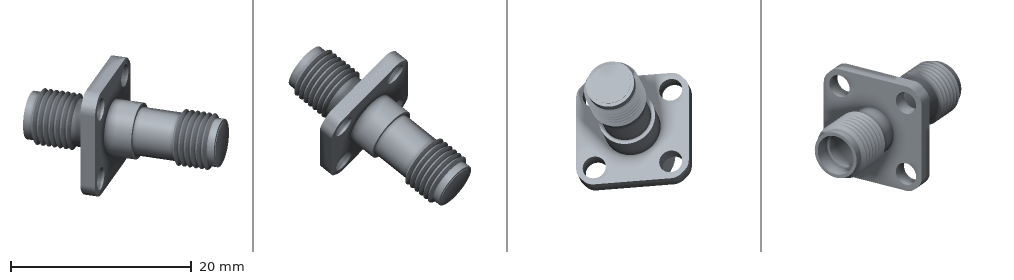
import cadquery as cq
import math

total_length = 22.23
housing_length = 22.19
flange_start = 7.85
flange_thickness = 1.71
flange_end = flange_start + flange_thickness
collar_end = 12.72

barrel_radius = 2.71
collar_radius = 3.18
thread_radius = collar_radius
thread_pitch = 0.67
left_first_crest = 1.25
left_crest_count = 7
right_first_crest = 17.67
right_crest_count = 6

flange_width = 12.7
corner_chamfer = 1.33
corner_radius = 1.55
hole_offset = 4.31
hole_radius = 1.3

bore_radius = 2.07
socket_radius = 2.31
socket_depth = 1.91
socket_cone_length = 0.11

pin_radius = 0.8
insulator_start = flange_start

contact_mouth_radius = 0.62
contact_throat_radius = 0.51
contact_bottom_radius = 0.33
contact_throat_depth = 2.22
contact_bottom_depth = 6.67
contact_tip_half_angle = 59.0


def cylinder(radius, start, end):
    """Solid cylinder on the X axis between two X positions."""
    return cq.Workplane("YZ").workplane(offset=start).circle(radius).extrude(end - start)


def revolve_profile(points):
    """Revolve an (x, radius) outline about the X axis."""
    return cq.Workplane("XY").polyline(points).close().revolve(360, (0, 0, 0), (1, 0, 0))


def make_thread(first_crest, crest_count):
    """Row of V-shaped ridges on a solid core, with crests one pitch apart."""
    start = first_crest - thread_pitch / 2
    points = [(start, 0), (start, barrel_radius)]
    for index in range(crest_count):
        crest = first_crest + index * thread_pitch
        points.append((crest, thread_radius))
        points.append((crest + thread_pitch / 2, barrel_radius))
    points.append((start + crest_count * thread_pitch, 0))
    return revolve_profile(points)


def make_flange():
    """Square plate with rounded-off chamfered corners and four holes."""
    plate = (
        cq.Workplane("YZ")
        .workplane(offset=flange_start)
        .rect(flange_width, flange_width)
        .extrude(flange_thickness)
        .edges("|X")
        .chamfer(corner_chamfer)
        .edges("|X")
        .fillet(corner_radius)
    )
    holes = (
        cq.Workplane("YZ")
        .workplane(offset=flange_start)
        .rect(2 * hole_offset, 2 * hole_offset, forConstruction=True)
        .vertices()
        .circle(hole_radius)
        .extrude(flange_thickness)
    )
    return plate.cut(holes)


def make_bore():
    """Space inside the housing: socket, cone, middle bore, cone, socket."""
    cone_end = socket_depth + socket_cone_length
    return revolve_profile([
        (0, 0),
        (0, socket_radius),
        (socket_depth, socket_radius),
        (cone_end, bore_radius),
        (housing_length - cone_end, bore_radius),
        (housing_length - socket_depth, socket_radius),
        (housing_length, socket_radius),
        (housing_length, 0),
    ])


def make_housing():
    """Flanged barrel with two threads and a stepped bore."""
    body = cylinder(barrel_radius, 0, housing_length)
    body = body.union(cylinder(collar_radius, flange_end, collar_end))
    body = body.union(make_thread(left_first_crest, left_crest_count))
    body = body.union(make_thread(right_first_crest, right_crest_count))
    body = body.union(make_flange())
    return body.cut(make_bore())


def make_insulator():
    """Plug that fills the right part of the bore and stands slightly proud of the housing."""
    cone_end = housing_length - socket_depth
    cone_start = cone_end - socket_cone_length
    return revolve_profile([
        (insulator_start, pin_radius),
        (insulator_start, bore_radius),
        (cone_start, bore_radius),
        (cone_end, socket_radius),
        (total_length, socket_radius),
        (total_length, pin_radius),
    ])


def make_pin():
    """Contact pin with a tapered, cone-bottomed socket in its left end."""
    throat = insulator_start + contact_throat_depth
    bottom = insulator_start + contact_bottom_depth
    tip = bottom + contact_bottom_radius / math.tan(math.radians(contact_tip_half_angle))
    return revolve_profile([
        (insulator_start, contact_mouth_radius),
        (throat, contact_throat_radius),
        (bottom, contact_bottom_radius),
        (tip, 0),
        (total_length, 0),
        (total_length, pin_radius),
        (insulator_start, pin_radius),
    ])


housing = make_housing()
insulator = make_insulator()
pin = make_pin()

result = cq.Compound.makeCompound([housing.val(), insulator.val(), pin.val()])